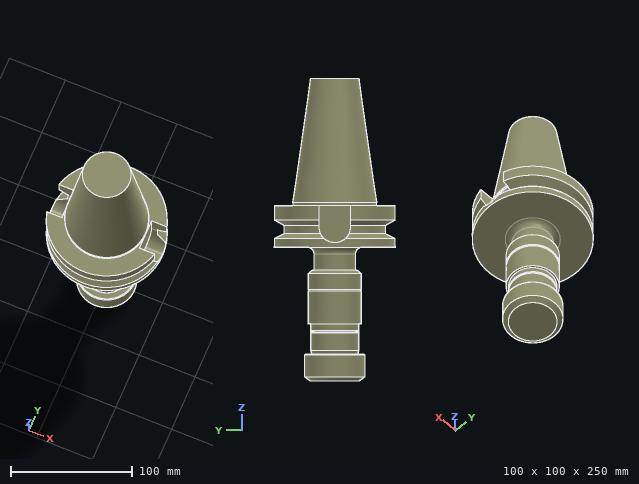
import cadquery as cq
import math

TOTAL_HEIGHT = 250.0

TAPER_TOP_DIA = 40.3
TAPER_BASE_DIA = 69.8
TAPER_BASE_Z = 147.5
SHANK_NECK_DIA = 69.3

FLANGE_DIA = 100.0
FLANGE_BOTTOM_Z = 110.5
FLANGE_TOP_Z = 145.0
GROOVE_DIA = 84.0
GROOVE_LOWER_EDGE_Z = 117.8
GROOVE_FLOOR_BOTTOM_Z = 121.8
GROOVE_FLOOR_TOP_Z = 128.5
GROOVE_UPPER_EDGE_Z = 133.0

SLOT_WIDTH = 26.0
SLOT_BOTTOM_Z = 114.5
SLOT_BOTTOM_FLAT = 0.8
SLOT_FLOOR_X = 34.8

NECK_DIA = 34.5
NECK_FILLET = 5.5
BODY_DIA = 44.0
BODY_TOP_Z = 91.8
BODY_CHAMFER_HEIGHT = 3.0
BODY_CHAMFER_TOP_DIA = 37.0
BODY_BOTTOM_Z = 47.3
BODY_GROOVE_Z = 74.5
BODY_GROOVE_HEIGHT = 1.3
BODY_GROOVE_DEPTH = 0.5

SLEEVE_DIA = 40.0
SLEEVE_GROOVE_Z = 39.8
SLEEVE_GROOVE_HEIGHT = 2.0
SLEEVE_GROOVE_DIA = 34.0
RETAINING_RING_DIA = 39.8
RETAINING_RING_HEIGHT = 1.0
SLEEVE_CHAMFER_TOP_Z = 25.3
SLEEVE_CHAMFER = 1.0

NUT_DIA = 50.0
NUT_TOP_Z = 22.3
NUT_TOP_CHAMFER = 0.8
NUT_NOSE_DIA = 40.3
NUT_NOSE_HEIGHT = 3.5


def cylinder(diameter, bottom_z, top_z):
    height = top_z - bottom_z
    return cq.Workplane("XY").workplane(offset=bottom_z).circle(diameter / 2).extrude(height)


def frustum(bottom_dia, top_dia, bottom_z, top_z):
    profile = [(0, bottom_z), (bottom_dia / 2, bottom_z), (top_dia / 2, top_z), (0, top_z)]
    return cq.Workplane("XZ").polyline(profile).close().revolve(360, (0, 0), (0, 1))


def ring_groove(outer_dia, floor_dia, bottom_z, height):
    """Ring to be cut from a cylinder of the outer diameter."""
    top_z = bottom_z + height
    return cylinder(outer_dia, bottom_z, top_z).cut(cylinder(floor_dia, bottom_z, top_z))


def make_shank():
    neck = cylinder(SHANK_NECK_DIA, FLANGE_TOP_Z, TAPER_BASE_Z)
    taper = frustum(TAPER_BASE_DIA, TAPER_TOP_DIA, TAPER_BASE_Z, TOTAL_HEIGHT)
    return neck.union(taper)


def drive_slot(side):
    """Round-bottomed slot, open at the flange top, on the given X side (+1 or -1)."""
    half_width = SLOT_WIDTH / 2
    half_flat = SLOT_BOTTOM_FLAT / 2
    corner_radius = half_width - half_flat
    arc_center_z = SLOT_BOTTOM_Z + corner_radius
    arc_mid_y = half_flat + corner_radius * math.sqrt(0.5)
    arc_mid_z = arc_center_z - corner_radius * math.sqrt(0.5)
    depth = FLANGE_DIA / 2 - SLOT_FLOOR_X
    return (
        cq.Workplane("YZ").workplane(offset=side * SLOT_FLOOR_X)
        .moveTo(-half_width, FLANGE_TOP_Z)
        .lineTo(-half_width, arc_center_z)
        .threePointArc((-arc_mid_y, arc_mid_z), (-half_flat, SLOT_BOTTOM_Z))
        .lineTo(half_flat, SLOT_BOTTOM_Z)
        .threePointArc((arc_mid_y, arc_mid_z), (half_width, arc_center_z))
        .lineTo(half_width, FLANGE_TOP_Z)
        .close().extrude(side * depth)
    )


def make_flange():
    flange_radius = FLANGE_DIA / 2
    groove_radius = GROOVE_DIA / 2
    profile = [
        (0, FLANGE_BOTTOM_Z),
        (flange_radius, FLANGE_BOTTOM_Z),
        (flange_radius, GROOVE_LOWER_EDGE_Z),
        (groove_radius, GROOVE_FLOOR_BOTTOM_Z),
        (groove_radius, GROOVE_FLOOR_TOP_Z),
        (flange_radius, GROOVE_UPPER_EDGE_Z),
        (flange_radius, FLANGE_TOP_Z),
        (0, FLANGE_TOP_Z),
    ]
    flange = cq.Workplane("XZ").polyline(profile).close().revolve(360, (0, 0), (0, 1))
    for side in (-1, 1):
        flange = flange.cut(drive_slot(side))
    return flange


def make_neck():
    """Cylindrical neck with a concave fillet flaring into the flange underside."""
    radius = NECK_DIA / 2
    fillet_bottom_z = FLANGE_BOTTOM_Z - NECK_FILLET
    arc_offset = NECK_FILLET * (1 - math.sqrt(0.5))
    return (
        cq.Workplane("XZ").moveTo(0, BODY_TOP_Z)
        .lineTo(radius, BODY_TOP_Z)
        .lineTo(radius, fillet_bottom_z)
        .threePointArc(
            (radius + arc_offset, FLANGE_BOTTOM_Z - arc_offset),
            (radius + NECK_FILLET, FLANGE_BOTTOM_Z),
        )
        .lineTo(0, FLANGE_BOTTOM_Z)
        .close().revolve(360, (0, 0), (0, 1))
    )


def make_body():
    shoulder_z = BODY_TOP_Z - BODY_CHAMFER_HEIGHT
    groove_dia = BODY_DIA - 2 * BODY_GROOVE_DEPTH
    body = cylinder(BODY_DIA, BODY_BOTTOM_Z, shoulder_z)
    body = body.union(frustum(BODY_DIA, BODY_CHAMFER_TOP_DIA, shoulder_z, BODY_TOP_Z))
    return body.cut(ring_groove(BODY_DIA, groove_dia, BODY_GROOVE_Z, BODY_GROOVE_HEIGHT))


def make_sleeve():
    """Sleeve with a retaining ring standing in the middle of its groove."""
    lower_dia = SLEEVE_DIA - 2 * SLEEVE_CHAMFER
    sleeve = cylinder(SLEEVE_DIA, SLEEVE_CHAMFER_TOP_Z, BODY_BOTTOM_Z)
    sleeve = sleeve.union(frustum(lower_dia, SLEEVE_DIA, NUT_TOP_Z, SLEEVE_CHAMFER_TOP_Z))
    groove = ring_groove(SLEEVE_DIA, SLEEVE_GROOVE_DIA, SLEEVE_GROOVE_Z, SLEEVE_GROOVE_HEIGHT)
    ring_bottom_z = SLEEVE_GROOVE_Z + (SLEEVE_GROOVE_HEIGHT - RETAINING_RING_HEIGHT) / 2
    ring = cylinder(RETAINING_RING_DIA, ring_bottom_z, ring_bottom_z + RETAINING_RING_HEIGHT)
    return sleeve.cut(groove).union(ring)


def make_nut():
    nut = cylinder(NUT_DIA, NUT_NOSE_HEIGHT, NUT_TOP_Z).faces(">Z").chamfer(NUT_TOP_CHAMFER)
    return nut.union(frustum(NUT_NOSE_DIA, NUT_DIA, 0, NUT_NOSE_HEIGHT))


result = (
    make_nut()
    .union(make_sleeve())
    .union(make_body())
    .union(make_neck())
    .union(make_flange())
    .union(make_shank())
)